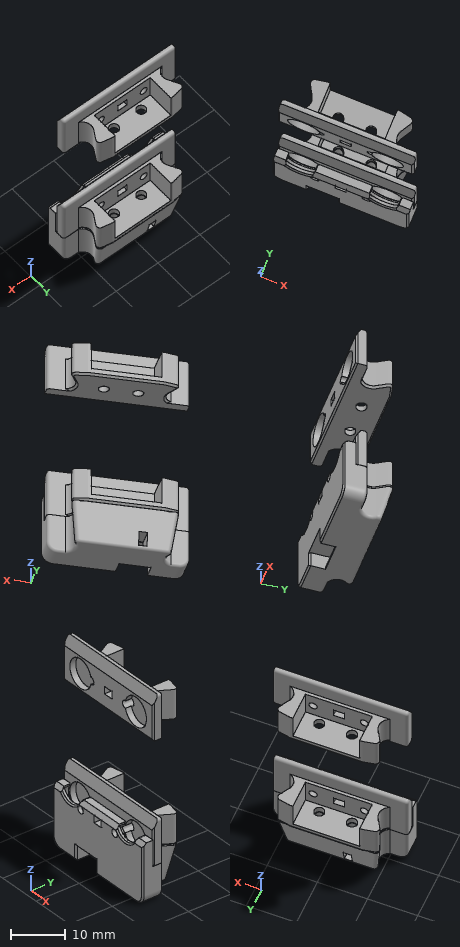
import cadquery as cq
import math

total_height = 44.65
plate_width = 27.0
total_depth = 11.4

clamp_height = 9.8
plate_front_y = 2.45
plate_back_y = 4.78
slope_depth = 1.2
slope_angle = 60.0
back_edge_radius = 0.63
front_chamfer = 0.35

dovetail_height = 6.8
dovetail_flat_half_width = 7.25
dovetail_neck_half_width = 8.57
neck_center_y = 6.8
neck_radius = 2.15
flank_angle = 30.0
tip_slope_angle = 11.0
tip_radius = 0.75
dovetail_chamfer = 0.4

recess_width = 13.3
recess_front_y = 5.4
recess_floor = 1.35
screw_x = 3.25
screw_y = 6.9
clearance_hole_diameter = 2.0
pilot_hole_diameter = 1.8
pilot_hole_depth = 4.0

magnet_x = 8.3
magnet_diameter = 6.4
magnet_depth = 1.4
opening_z = 3.97
sight_hole_diameter = 1.6
sight_hole_x = magnet_x - magnet_diameter / 2
window_width = 2.2
window_height = 1.6

base_clamp_z = 7.8
lip_top_z = 13.55
lip_top_chamfer = 0.9
bottom_corner_radius = 2.0
lip_arch_radius = 3.13
lip_arch_chamfer = 0.3
lip_skin = 0.9
lip_pocket_chamfer = 0.35
tail_back_top_y = 10.95
tail_back_bottom_y = 9.1

notch_x = -3.53
notch_width = 6.0
notch_height = 3.5
notch_center_y = 3.2
shelf_height = 0.5
latch_slot_width = 1.6
latch_slot_bottom_z = 0.75
latch_slot_top_z = 3.35

upper_clamp_z = total_height - clamp_height


def box(x_center, width, y_range, z_range):
    """Block centred on x_center that fills the given Y and Z ranges."""
    depth = y_range[1] - y_range[0]
    height = z_range[1] - z_range[0]
    corner = (x_center - width / 2, y_range[0], z_range[0])
    return cq.Workplane("XY").box(width, depth, height, centered=False).translate(corner)


def rod(x, z, diameter, y_range):
    """Round bar along Y."""
    length = y_range[1] - y_range[0]
    return cq.Workplane("XZ", origin=(x, y_range[0], z)).circle(diameter / 2).extrude(-length)


def mirrored(shape):
    """The shape together with its mirror image across the middle of the width."""
    return shape.union(shape.mirror("YZ"))


def side_chamfer(front_y, z_range):
    """Wedge that bevels the left front edge of a plate."""
    left = -plate_width / 2
    corners = [(left, front_y), (left + front_chamfer, front_y), (left, front_y + front_chamfer)]
    height = z_range[1] - z_range[0]
    return cq.Workplane("XY", origin=(0, 0, z_range[0])).polyline(corners).close().extrude(height)


def dovetail_outline(back_angle):
    """Dovetail seen along Z, with sharp tips, a rounded neck and a back that slopes down to the tips."""
    flank = math.radians(flank_angle)
    neck_center_x = dovetail_neck_half_width + neck_radius
    root_x = neck_center_x - math.sqrt(neck_radius**2 - (neck_center_y - plate_back_y) ** 2)
    flank_x = neck_center_x - neck_radius * math.cos(flank)
    flank_y = neck_center_y + neck_radius * math.sin(flank)
    back_slope = math.tan(math.radians(back_angle))
    flank_slope = math.tan(flank)
    back_y_over_flank = total_depth - back_slope * (flank_x - dovetail_flat_half_width)
    tip_y = (back_y_over_flank + back_slope * flank_slope * flank_y) / (1 + back_slope * flank_slope)
    tip_x = flank_x + flank_slope * (tip_y - flank_y)
    return (
        cq.Workplane("XY")
        .moveTo(-root_x, plate_back_y)
        .lineTo(root_x, plate_back_y)
        .threePointArc((dovetail_neck_half_width, neck_center_y), (flank_x, flank_y))
        .lineTo(tip_x, tip_y)
        .lineTo(dovetail_flat_half_width, total_depth)
        .lineTo(-dovetail_flat_half_width, total_depth)
        .lineTo(-tip_x, tip_y)
        .lineTo(-flank_x, flank_y)
        .threePointArc((-dovetail_neck_half_width, neck_center_y), (-root_x, plate_back_y))
        .close()
    )


def clamp_plate():
    """Plate with rounded back edges, a sloping front top and bevelled front edges."""
    slope_height = slope_depth * math.tan(math.radians(slope_angle))
    plate = box(0, plate_width, (plate_front_y, plate_back_y), (0, clamp_height))
    plate = plate.edges("|Y and >Z").fillet(back_edge_radius)
    plate = plate.faces(">Y").edges("not <Z").fillet(back_edge_radius)
    slope = (
        cq.Workplane("YZ")
        .polyline([
            (plate_front_y, clamp_height - slope_height),
            (plate_front_y, clamp_height),
            (plate_front_y + slope_depth, clamp_height),
        ])
        .close()
        .extrude(plate_width / 2, both=True)
    )
    bottom_bevel = (
        cq.Workplane("YZ")
        .polyline([
            (plate_front_y, 0),
            (plate_front_y + front_chamfer, 0),
            (plate_front_y, front_chamfer),
        ])
        .close()
        .extrude(plate_width / 2, both=True)
    )
    return plate.cut(slope).cut(bottom_bevel).cut(mirrored(side_chamfer(plate_front_y, (0, clamp_height))))


def clamp_dovetail():
    """Straight dovetail with rounded tips and a bevelled bottom."""
    dovetail = dovetail_outline(tip_slope_angle).extrude(dovetail_height)
    dovetail = dovetail.edges("|Z and (>X or <X)").fillet(tip_radius)
    return dovetail.faces("<Z").edges("not <Y").chamfer(dovetail_chamfer)


def clamp(bottom_z):
    """Plate with a forked dovetail, magnet pockets, openings and screw holes."""
    body = clamp_plate().union(clamp_dovetail())
    recess = box(0, recess_width, (recess_front_y, total_depth), (recess_floor, clamp_height))
    body = body.cut(recess)
    magnet = rod(magnet_x, opening_z, magnet_diameter, (plate_front_y, plate_front_y + magnet_depth))
    body = body.cut(mirrored(magnet)).cut(front_openings(opening_z))
    screw = cq.Workplane("XY").pushPoints([(-screw_x, screw_y), (screw_x, screw_y)])
    body = body.cut(screw.circle(clearance_hole_diameter / 2).extrude(recess_floor))
    return body.translate((0, 0, bottom_z))


def front_openings(z):
    """Sight holes and window, from the front through to the recess."""
    y_range = (0, recess_front_y)
    window = box(0, window_width, y_range, (z - window_height / 2, z + window_height / 2))
    return mirrored(rod(sight_hole_x, z, sight_hole_diameter, y_range)).union(window)


def base_plate():
    """Plate under the clamp and the lip in front of it."""
    plate = box(0, plate_width, (0, plate_back_y), (0, base_clamp_z))
    plate = plate.edges("|Y and <Z").fillet(bottom_corner_radius)
    lip = box(0, plate_width, (0, plate_front_y), (base_clamp_z, lip_top_z))
    plate = plate.union(lip, clean=True)
    plate = plate.faces("<Y").edges("not >Z").chamfer(front_chamfer)
    return plate.edges("<Y and >Z").chamfer(lip_top_chamfer)


def base_tail():
    """Dovetail under the clamp dovetail, cut back along a slanted plane."""
    tail = dovetail_outline(0).extrude(base_clamp_z)
    behind_slant = (
        cq.Workplane("YZ")
        .polyline([
            (tail_back_bottom_y, 0),
            (tail_back_top_y, base_clamp_z),
            (total_depth, base_clamp_z),
            (total_depth, 0),
        ])
        .close()
        .extrude(plate_width / 2, both=True)
    )
    tail = tail.cut(behind_slant)
    return tail.faces(">Y").edges("not #Z").fillet(tip_radius)


def flare(x, z, hole_radius, depth):
    """Cone that widens the front end of a round hole by its own depth."""
    opening = cq.Workplane("XZ", origin=(x, 0, z)).circle(hole_radius + depth)
    return opening.extrude(-depth, taper=45)


def lip_arch():
    """Round dip through the top of the lip that uncovers a magnet, bevelled at the front."""
    z = base_clamp_z + dovetail_height
    arch = rod(magnet_x, z, 2 * lip_arch_radius, (0, plate_front_y))
    return arch.union(flare(magnet_x, z, lip_arch_radius, lip_arch_chamfer))


def lip_magnet_pocket():
    """Pocket in the rear of the lip that faces a magnet pocket of the clamp, flared at its mouth."""
    z = base_clamp_z + opening_z
    pocket = rod(magnet_x, z, magnet_diameter, (lip_skin, plate_front_y))
    mouth = flare(magnet_x, z, magnet_diameter / 2, lip_pocket_chamfer)
    return pocket.union(mouth.mirror("XZ").translate((0, plate_front_y, 0)))


def latch_notch():
    """Round-ended notch, open at the front, with bevelled front edges and a shelf at its end."""
    end = cq.Workplane("XY", origin=(notch_x, notch_center_y, shelf_height)).circle(notch_width / 2)
    notch = box(notch_x, notch_width, (0, notch_center_y), (0, notch_height))
    notch = notch.union(end.extrude(notch_height - shelf_height))
    half_mouth = notch_width / 2 + front_chamfer
    mouth = (
        cq.Workplane("XY", origin=(notch_x, 0, 0))
        .polyline([
            (-half_mouth, 0),
            (half_mouth, 0),
            (half_mouth - front_chamfer, front_chamfer),
            (front_chamfer - half_mouth, front_chamfer),
        ])
        .close()
        .extrude(notch_height)
    )
    slot = box(notch_x, latch_slot_width, (notch_center_y, total_depth), (latch_slot_bottom_z, latch_slot_top_z))
    return notch.union(mouth).union(slot)


def base():
    """Plate, lip and tail that carry the lower clamp."""
    body = base_plate().union(base_tail())
    rear = cq.selectors.BoxSelector(
        (-plate_width, plate_back_y - 0.05, -0.05), (plate_width, total_depth, 0.05)
    )
    body = body.edges(rear).fillet(back_edge_radius)
    body = body.cut(mirrored(lip_arch())).cut(mirrored(lip_magnet_pocket())).cut(latch_notch())
    openings = front_openings(base_clamp_z + opening_z)
    body = body.cut(openings)
    pilots = cq.Workplane("XY", origin=(0, 0, base_clamp_z)).pushPoints([(-screw_x, screw_y), (screw_x, screw_y)])
    return body.cut(pilots.circle(pilot_hole_diameter / 2).extrude(-pilot_hole_depth))


upper_clamp = clamp(upper_clamp_z)
lower_clamp = clamp(base_clamp_z)
base_body = base()

result = cq.Compound.makeCompound([upper_clamp.val(), lower_clamp.val(), base_body.val()])